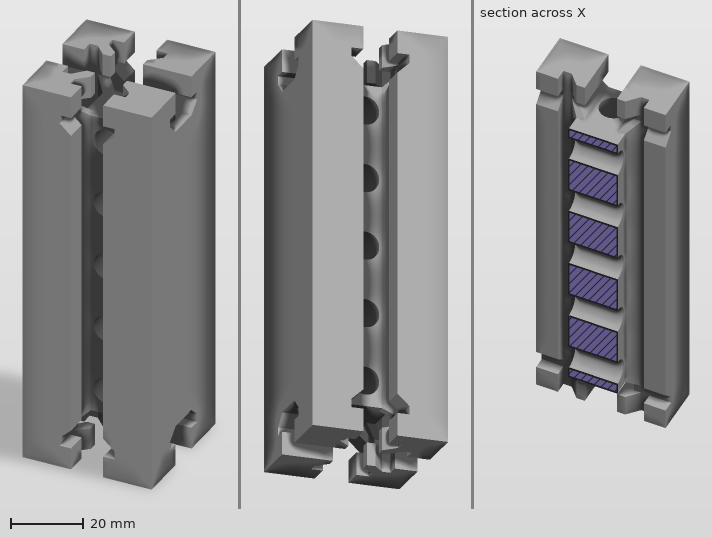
import cadquery as cq

LENGTH = 120.0
SIDE = LENGTH / 3

MOUTH_WIDTH = 10.0
HEAD_WIDTH = 17.0
LIP_DEPTH = 6.7
HEAD_WALL_DEPTH = 9.2
SLOT_DEPTH = 12.5

HOLE_DIAMETER = 8.3
CROSS_HOLE_COUNT = 5
CROSS_HOLE_PITCH = SIDE / 2
LONG_HOLE_X = 13.0


def t_slot(origin, outward, run, length):
    """T-slot cutter whose mouth lies at origin and opens outward; it extrudes along run."""
    outward = cq.Vector(*outward)
    run = cq.Vector(*run)
    start = cq.Vector(*origin) - run * (length / 2)
    plane = cq.Plane(start, outward.cross(run), run)
    half_mouth = MOUTH_WIDTH / 2
    half_head = HEAD_WIDTH / 2
    right_side = [
        (half_mouth, 0),
        (half_mouth, -LIP_DEPTH),
        (half_head, -LIP_DEPTH),
        (half_head, -HEAD_WALL_DEPTH),
        (half_mouth, -SLOT_DEPTH),
    ]
    left_side = [(-across, depth) for across, depth in reversed(right_side)]
    return cq.Workplane(plane).polyline(right_side + left_side).close().extrude(length)


block = cq.Workplane("XY").box(SIDE, SIDE, LENGTH)

for face_x, face_y in [(-1, 0), (0, -1), (0, 1)]:
    mouth = (face_x * SIDE / 2, face_y * SIDE / 2, 0)
    block = block.cut(t_slot(mouth, (face_x, face_y, 0), (0, 0, 1), LENGTH))

for end in (-1, 1):
    for run in [(1, 0, 0), (0, 1, 0)]:
        block = block.cut(t_slot((0, 0, end * LENGTH / 2), (0, 0, end), run, SIDE))

cross_holes = (
    cq.Workplane("XZ")
    .rarray(SIDE, CROSS_HOLE_PITCH, 1, CROSS_HOLE_COUNT)
    .circle(HOLE_DIAMETER / 2)
    .extrude(SIDE / 2, both=True)
)

long_hole = (
    cq.Workplane("XY")
    .center(LONG_HOLE_X, 0)
    .circle(HOLE_DIAMETER / 2)
    .extrude(LENGTH / 2, both=True)
)

result = block.cut(cross_holes).cut(long_hole)